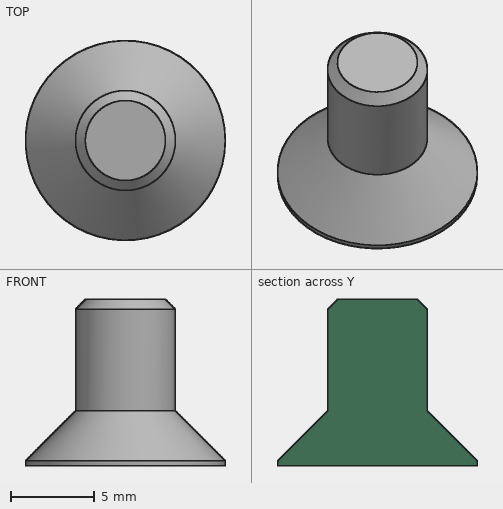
import cadquery as cq

head_diameter = 12.0
shank_diameter = head_diameter / 2
total_height = 10.0
rim_height = 0.3
tip_chamfer = 0.6

head_radius = head_diameter / 2
shank_radius = shank_diameter / 2
cone_height = head_radius - shank_radius
shank_length = total_height - rim_height - cone_height


def make_head():
    """Flat head: a thin cylindrical rim below a 45 degree cone."""
    head_height = rim_height + cone_height
    half_profile = (
        cq.Workplane("XZ")
        .lineTo(head_radius, 0)
        .lineTo(head_radius, rim_height)
        .lineTo(shank_radius, head_height)
        .lineTo(0, head_height)
        .close()
    )
    return half_profile.revolve(360, (0, 0), (0, 1))


def add_shank(head):
    """Plain shank on top of the cone, with a chamfered tip."""
    return (
        head.faces(">Z")
        .workplane()
        .circle(shank_radius)
        .extrude(shank_length)
        .faces(">Z")
        .chamfer(tip_chamfer)
    )


result = add_shank(make_head())